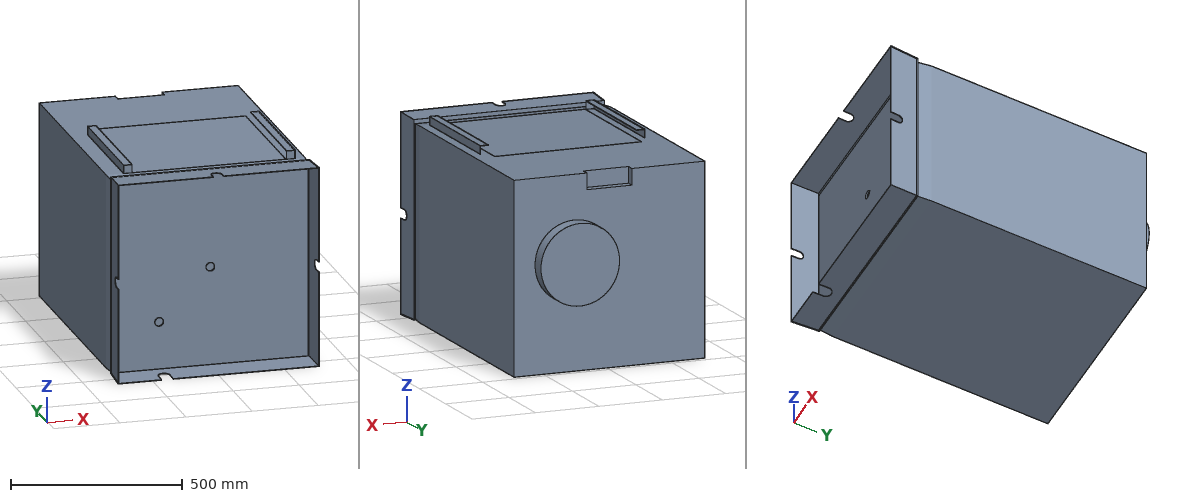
import cadquery as cq


FRAME_SIZE = 608.84
FRAME_DEPTH = 91.5
FRAME_BACK_HALF = 301.0
FRAME_SIDE_BAND = 7.0
FRAME_TOP_BAND = 3.0
SHEET = 2.0
FRAME_WALL = 4.0

HOUSING_WIDTH = 602.0
HOUSING_TOP = 292.0
HOUSING_BOTTOM = -299.0
TAPER_START = 137.0
HOUSING_BACK = 848.6
TAPER_SIDE = 4.0
TAPER_TOP = 3.5
TAPER_BOTTOM = 1.0

NECK_WIDTH = 590.0
NECK_TOP = 287.5
NECK_BOTTOM = -298.0

TEST_HOLE_DIAMETER = 26.0
TEST_HOLE_DEPTH = 5.0
TEST_HOLE_OFFSET = 155.0

RAIL_TOP = 318.21
RAIL_WIDTH = 26.0
RAIL_LENGTH = 383.0
RAIL_OUTER_HALF = 260.0
RAIL_CENTER_X = 11.0
PANEL_WIDTH = 463.0
PANEL_LENGTH = 426.0
PANEL_RAISE = 1.0

NOTCH_WIDTH = 141.0
NOTCH_LENGTH = 26.0
NOTCH_DEPTH = 50.0

SPIGOT_DIAMETER = 248.0
SPIGOT_X = 111.0
SPIGOT_Z = 31.0
SPIGOT_END = 893.62

SLOT_WIDTH = 31.0
SLOT_LENGTH = 39.5
BOTTOM_SLOT_WIDTH = 35.0
BOTTOM_SLOT_LENGTH = 52.0
BOTTOM_SLOT_X = -TEST_HOLE_OFFSET

FRAME_HALF = FRAME_SIZE / 2
RING_FRONT = FRAME_DEPTH - FRAME_WALL


def box_between(x0, x1, y0, y1, z0, z1):
    return cq.Workplane("XY").box(x1 - x0, y1 - y0, z1 - z0, centered=False).translate((x0, y0, z0))


def rectangle_at(y, half_width, bottom, top):
    """Closed rectangular wire in the plane at depth y."""
    corners = [(-half_width, bottom), (half_width, bottom), (half_width, top), (-half_width, top)]
    return cq.Wire.makePolygon([cq.Vector(x, y, z) for x, z in corners], close=True)


def flare_prism(plane, inset, band):
    """Prism that flares in one direction only; its section has a straight band behind the flare."""
    front = FRAME_HALF - inset
    back = FRAME_BACK_HALF - inset
    bend = FRAME_DEPTH - band
    right = [(front, 0), (back, bend), (back, FRAME_DEPTH)]
    left = [(-across, y) for across, y in reversed(right)]
    return cq.Workplane(plane).polyline(right + left).close().extrude(FRAME_HALF, both=True)


def skirt_block(inset):
    """Flared block: the overlap of a prism flared in width and a prism flared in height."""
    width_plane = cq.Plane((0, 0, 0), xDir=(1, 0, 0), normal=(0, 0, 1))
    height_plane = cq.Plane((0, 0, 0), xDir=(0, 0, 1), normal=(-1, 0, 0))
    width_flare = flare_prism(width_plane, inset, FRAME_SIDE_BAND)
    height_flare = flare_prism(height_plane, inset, FRAME_TOP_BAND)
    return width_flare.intersect(height_flare)


def neck_block():
    """Block that fills the ring opening at the back of the frame."""
    half = NECK_WIDTH / 2
    return box_between(-half, half, RING_FRONT, FRAME_DEPTH, NECK_BOTTOM, NECK_TOP)


def slot_cutter(width, length):
    """Round-ended slot, open at the front edge, cutting upward from the frame axis."""
    radius = width / 2
    straight = length - radius
    return (
        cq.Workplane("XY")
        .moveTo(-radius, 0)
        .lineTo(-radius, straight)
        .threePointArc((0, length), (radius, straight))
        .lineTo(radius, 0)
        .close()
        .extrude(FRAME_HALF)
    )


def make_frame():
    in_front_of_ring = box_between(-FRAME_HALF, FRAME_HALF, 0, RING_FRONT, -FRAME_HALF, FRAME_HALF)
    cavity = skirt_block(SHEET).intersect(in_front_of_ring)
    tray = skirt_block(0).cut(cavity).cut(neck_block())
    slot = slot_cutter(SLOT_WIDTH, SLOT_LENGTH)
    for angle in (0, 90, -90):
        tray = tray.cut(slot.rotate((0, 0, 0), (0, 1, 0), angle))
    bottom_slot = slot_cutter(BOTTOM_SLOT_WIDTH, BOTTOM_SLOT_LENGTH)
    return tray.cut(bottom_slot.translate((BOTTOM_SLOT_X, 0, -FRAME_HALF)))


def make_right_rail():
    """Angle rail with a roof and an outer wall, closed at the front and open inward and to the rear."""
    outer = RAIL_OUTER_HALF
    inner = outer - RAIL_WIDTH
    rail_end = TAPER_START + RAIL_LENGTH
    block = box_between(inner, outer, TAPER_START, rail_end, HOUSING_TOP, RAIL_TOP)
    channel = box_between(inner, outer - SHEET, TAPER_START + SHEET, rail_end, HOUSING_TOP, RAIL_TOP - SHEET)
    return block.cut(channel)


def make_housing():
    half = HOUSING_WIDTH / 2
    half_panel = PANEL_WIDTH / 2

    body = box_between(-half, half, TAPER_START, HOUSING_BACK, HOUSING_BOTTOM, HOUSING_TOP)

    taper_front = rectangle_at(
        FRAME_DEPTH, half - TAPER_SIDE, HOUSING_BOTTOM + TAPER_BOTTOM, HOUSING_TOP - TAPER_TOP
    )
    taper_back = rectangle_at(TAPER_START, half, HOUSING_BOTTOM, HOUSING_TOP)
    taper = cq.Solid.makeLoft([taper_front, taper_back], ruled=True)
    body = body.union(cq.Workplane(taper))
    body = body.union(neck_block())

    right_rail = make_right_rail()
    for rail in (right_rail, right_rail.mirror("YZ")):
        body = body.union(rail.translate((RAIL_CENTER_X, 0, 0)))

    panel_end = TAPER_START + PANEL_LENGTH
    panel_top = HOUSING_TOP + PANEL_RAISE
    panel_left = RAIL_CENTER_X - half_panel
    panel_right = RAIL_CENTER_X + half_panel
    body = body.union(box_between(panel_left, panel_right, TAPER_START, panel_end, HOUSING_TOP, panel_top))

    notch = box_between(
        -NOTCH_WIDTH / 2, NOTCH_WIDTH / 2,
        HOUSING_BACK - NOTCH_LENGTH, HOUSING_BACK,
        HOUSING_TOP - NOTCH_DEPTH, HOUSING_TOP,
    )
    body = body.cut(notch)

    spigot = (
        cq.Workplane("XZ", origin=(SPIGOT_X, HOUSING_BACK, SPIGOT_Z))
        .circle(SPIGOT_DIAMETER / 2)
        .extrude(HOUSING_BACK - SPIGOT_END)
    )
    body = body.union(spigot)

    test_holes = (
        cq.Workplane("XZ", origin=(0, RING_FRONT, 0))
        .pushPoints([(0, 0), (-TEST_HOLE_OFFSET, -TEST_HOLE_OFFSET)])
        .circle(TEST_HOLE_DIAMETER / 2)
        .extrude(-TEST_HOLE_DEPTH)
    )
    return body.cut(test_holes)


frame = make_frame()
housing = make_housing()

result = cq.Compound.makeCompound([frame.solids().val(), housing.solids().val()])